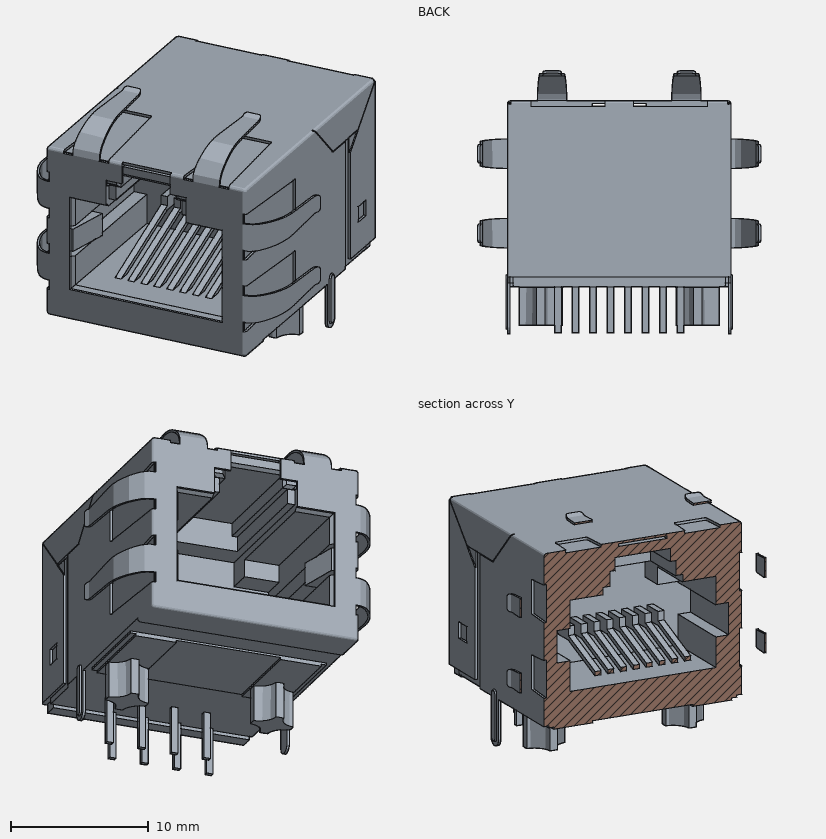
import cadquery as cq
import math


HALF_WIDTH = 8.12
DEPTH = 21.11
TOP_Z = 13.57
BASE_Z = 0.32
SHEET = 0.2
BEND = 0.25
REAR_SHEET_BASE_Z = 0.78
HAIRLINE = 0.06

FRONT_FLAP_DEPTH = 2.85
FRONT_FLAP_Z = 0.05
FOOT_FRONT_Y = 19.8
FOOT_HALF_WIDTH = 7.7
PLATFORM_Z = 0.16
FOOT_Z = 0.06
PAD_FRONT_Y = 5.2
PAD_REAR_Y = 12.55
PAD_WIDTH = 3.2

PORT_HALF = 6.2
PORT_FLOOR_Z = 2.48
PORT_ROOF_Z = 9.9
LATCH_HALF = 3.25
LATCH_ROOF_Z = 11.9
SLIT_HALF = 1.96
LEAD_IN = 0.24
HOOK_HALF = 2.26
HOOK_ROOF_Z = 12.36
HOOK_LEDGE_Z = 11.36
CAVITY_END_Y = 12.0
SHOULDER_END_Y = 10.0
SHOULDER_Z = 8.32
LATCH_END_Y = 10.0
LATCH_BACK_Z = 10.22
LATCH_RIB_WIDTH = 0.57
LATCH_RIB_FRONT_Y = 0.48

GAP_FLOOR_Z = 13.2
GAP_HEIGHT = 0.16
REAR_SLOT_INNER_X = 1.05
REAR_SLOT_OUTER_X = 6.4
REAR_SLOT_FRONT_Y = 20.8
REAR_SLOT_Z = 13.15
CORNER_RELIEF = 0.25

GUIDE_SLOT_Z = (5.06, 7.5)
GUIDE_SLOT_X = 7.0
GUIDE_Z = (5.44, 7.22)
GUIDE_TIP_X = 5.38
GUIDE_END_Y = 3.65

CONTACT_COUNT = 8
CONTACT_PITCH = 1.05
CONTACT_WIDTH = 0.5
CONTACT_TIP_Y = 2.8
CONTACT_BEND_Z = 5.44
CONTACT_TOP_Z = 6.16
CONTACT_SLOPE = math.radians(20)
CONTACT_HEIGHT = 0.35

FINGER_REACH = 2.18
FINGER_SHEET = 0.17
FINGER_ROOT_RADIUS = 1.42
FINGER_BOW_END_Y = 3.7
FINGER_LIP_Y = 7.15
FINGER_LIP_RADIUS = 0.5
FINGER_LIP_ANGLE = math.radians(25)
FINGER_END_Y = 7.7
FINGER_ROOT_HALF = 1.08
FINGER_TIP_HALF = 0.66
FINGER_CORNER = 0.25
WINDOW_END_Y = 8.05
WINDOW_ROOT_HALF = 1.84
WINDOW_TIP_HALF = 1.31
WINDOW_CORNER = 0.12
TOP_FINGER_X = 4.875
SIDE_FINGER_Z = (3.95, 9.72)

FLAP_Z = 10.6
FLAP_FRONT_Y = 14.06
FLAP_REAR_Y = 18.1
STEP_SLOPE_Y = 16.1
STEP_FLOOR_Y = 16.5
STEP_REAR_Y = 16.9
STEP_CORNER = 1.25
STEP_CORNER_RECESS = 0.1
CATCH_CENTER = (18.8, 3.83)
CATCH_SIZE = 1.25

TAB_Y = 13.8
TAB_WIDTH = 1.2
TAB_TIP_Z = -3.36
BEAD_WIDTH = 0.65
BEAD_RISE = 0.12
BEAD_Z = (-3.05, 0.96)
BEAD_DRAFT = 30

PIN_COUNT = 8
PIN_PITCH = 1.27
PIN_WIDTH = 0.5
PIN_THICKNESS = 0.35
PIN_ROW_Y = (17.07, 19.62)
PIN_TIP_Z = -3.28

POST_X = 5.69
POST_Y = 10.72
POST_RADIUS = 1.575
POST_TIP_Z = -2.74
FLUTE_RADIUS = 1.34
FLUTE_CENTER = 2.33
FLUTE_COUNT = 4
FLUTE_START_ANGLE = 45


def block(x, y, z):
    """Box spanning the given (low, high) pair along each axis."""
    size = (x[1] - x[0], y[1] - y[0], z[1] - z[0])
    return cq.Workplane("XY").box(*size, centered=False).translate((x[0], y[0], z[0]))


def wide_block(half, y, z):
    return block((-half, half), y, z)


def both_sides(shape):
    return shape.union(shape.mirror("YZ"))


def side_prism(points, x):
    """Prism with a YZ outline, spanning the (low, high) pair x."""
    outline = cq.Workplane("YZ", origin=(x[0], 0, 0)).polyline(points).close()
    return outline.extrude(x[1] - x[0])


def make_box():
    """Folded shield box, open along its underside behind the front flap, with its feet."""
    box = wide_block(HALF_WIDTH, (0, DEPTH), (FRONT_FLAP_Z, TOP_Z))
    box = box.edges("|Z").fillet(BEND).edges(">Z or (<Y and <Z)").fillet(BEND)
    box = box.cut(wide_block(HALF_WIDTH, (FRONT_FLAP_DEPTH, DEPTH), (FRONT_FLAP_Z, BASE_Z)))
    box = box.cut(wide_block(HALF_WIDTH, (FOOT_FRONT_Y, DEPTH), (BASE_Z, REAR_SHEET_BASE_Z)))
    foot = wide_block(FOOT_HALF_WIDTH, (FOOT_FRONT_Y, DEPTH - SHEET), (FOOT_Z, REAR_SHEET_BASE_Z))
    pad_span = (PAD_FRONT_Y, PAD_REAR_Y)
    platform = wide_block(FOOT_HALF_WIDTH, pad_span, (PLATFORM_Z, BASE_Z))
    pad_x = (POST_X - PAD_WIDTH / 2, POST_X + PAD_WIDTH / 2)
    pads = both_sides(block(pad_x, pad_span, (0, PLATFORM_Z)))
    return box.union(foot).union(platform).union(pads)


def flared_mouth(half, floor_z, roof_z):
    """Cut behind the front sheet, shrinking by LEAD_IN on every side to the given size."""
    height = roof_z - floor_z
    return (
        cq.Workplane("XZ", origin=(0, SHEET, floor_z + height / 2))
        .rect(2 * (half + LEAD_IN), height + 2 * LEAD_IN)
        .workplane(offset=-LEAD_IN)
        .rect(2 * half, height)
        .loft(ruled=True)
    )


def make_port():
    """Everything cut out of the front: sheet opening, flared mouths and plug cavity."""
    front = (0, SHEET)
    opening = wide_block(PORT_HALF, front, (PORT_FLOOR_Z, PORT_ROOF_Z))
    opening = opening.union(wide_block(LATCH_HALF, front, (PORT_FLOOR_Z, LATCH_ROOF_Z)))
    opening = opening.union(wide_block(SLIT_HALF, front, (PORT_FLOOR_Z, TOP_Z)))

    half = PORT_HALF - LEAD_IN
    floor = PORT_FLOOR_Z + LEAD_IN
    roof = PORT_ROOF_Z - LEAD_IN
    mouths = flared_mouth(half, floor, roof)
    mouths = mouths.union(flared_mouth(HOOK_HALF, HOOK_LEDGE_Z, HOOK_ROOF_Z))
    mouths = mouths.union(flared_mouth(LATCH_HALF - LEAD_IN, LATCH_BACK_Z, HOOK_LEDGE_Z))

    cavity = wide_block(half, (SHEET, CAVITY_END_Y), (floor, SHOULDER_Z))
    cavity = cavity.union(wide_block(half, (SHEET, SHOULDER_END_Y), (SHOULDER_Z, roof)))
    cavity = cavity.union(
        wide_block(LATCH_HALF, (SHEET, CAVITY_END_Y), (SHOULDER_Z, LATCH_BACK_Z))
    )
    latch = wide_block(LATCH_HALF, (SHEET, LATCH_END_Y), (LATCH_BACK_Z, HOOK_LEDGE_Z))
    rib_x = (LATCH_HALF - LATCH_RIB_WIDTH, LATCH_HALF)
    ribs = both_sides(
        block(rib_x, (LATCH_RIB_FRONT_Y, LATCH_END_Y), (LATCH_BACK_Z, HOOK_LEDGE_Z))
    )
    hook = wide_block(HOOK_HALF, (SHEET, LATCH_END_Y), (HOOK_LEDGE_Z, HOOK_ROOF_Z))
    cavity = cavity.union(latch.cut(ribs)).union(hook)
    slots = both_sides(block((half, GUIDE_SLOT_X), (SHEET, CAVITY_END_Y), GUIDE_SLOT_Z))
    return opening.union(mouths).union(cavity).union(slots)


def make_guides():
    outline = [
        (PORT_HALF - LEAD_IN / 2, SHEET + LEAD_IN / 2),
        (GUIDE_TIP_X, GUIDE_END_Y),
        (GUIDE_SLOT_X, GUIDE_END_Y),
        (GUIDE_SLOT_X, SHEET + LEAD_IN / 2),
    ]
    guide = cq.Workplane("XY", origin=(0, 0, GUIDE_Z[0])).polyline(outline).close()
    return both_sides(guide.extrude(GUIDE_Z[1] - GUIDE_Z[0]))


def make_contacts():
    """Wires sloping up from the cavity floor, then running straight into its back wall."""
    floor = PORT_FLOOR_Z + LEAD_IN
    bend_y = CONTACT_TIP_Y + (CONTACT_BEND_Z - floor) / math.tan(CONTACT_SLOPE)
    outline = [
        (CONTACT_TIP_Y, floor - CONTACT_HEIGHT),
        (CONTACT_TIP_Y, floor),
        (bend_y, CONTACT_BEND_Z),
        (bend_y, CONTACT_TOP_Z),
        (CAVITY_END_Y, CONTACT_TOP_Z),
        (CAVITY_END_Y, CONTACT_BEND_Z - CONTACT_HEIGHT),
        (bend_y, CONTACT_BEND_Z - CONTACT_HEIGHT),
    ]
    contacts = cq.Workplane("XY")
    for index in range(CONTACT_COUNT):
        x = (index - (CONTACT_COUNT - 1) / 2) * CONTACT_PITCH
        contacts = contacts.union(
            side_prism(outline, (x - CONTACT_WIDTH / 2, x + CONTACT_WIDTH / 2))
        )
    return contacts


def make_top_gaps():
    gap = wide_block(SLIT_HALF, (0, DEPTH - SHEET), (GAP_FLOOR_Z, GAP_FLOOR_Z + GAP_HEIGHT))
    slot_x = (REAR_SLOT_INNER_X, REAR_SLOT_OUTER_X)
    slots = both_sides(block(slot_x, (REAR_SLOT_FRONT_Y, DEPTH), (REAR_SLOT_Z, TOP_Z)))
    relief = both_sides(
        block(
            (HALF_WIDTH - CORNER_RELIEF, HALF_WIDTH),
            (DEPTH - CORNER_RELIEF, DEPTH),
            (TOP_Z - CORNER_RELIEF, TOP_Z),
        )
    )
    return gap.union(slots).union(relief)


def make_side_folds():
    """Cuts in the +X side sheet: flap seam, stepped groove, lower recess and catch."""
    floor_x = HALF_WIDTH - SHEET
    sheet_x = (floor_x, HALF_WIDTH)
    flap_height = TOP_Z + SHEET - FLAP_Z
    outline = [
        (FLAP_FRONT_Y, FLAP_Z),
        (FLAP_REAR_Y, FLAP_Z),
        (FLAP_REAR_Y + flap_height, FLAP_Z + flap_height),
        (FLAP_FRONT_Y - flap_height, FLAP_Z + flap_height),
    ]
    sheet_plane = cq.Workplane("YZ", origin=(floor_x, 0, 0))
    flap = sheet_plane.polyline(outline).close().offset2D(-HAIRLINE).extrude(SHEET)
    seam = side_prism(outline, sheet_x).cut(flap)

    groove = (
        cq.Workplane("XY", origin=(0, 0, BASE_Z))
        .moveTo(HALF_WIDTH, STEP_SLOPE_Y)
        .lineTo(floor_x, STEP_FLOOR_Y)
        .lineTo(floor_x, STEP_REAR_Y)
        .lineTo(HALF_WIDTH, STEP_REAR_Y)
        .close()
        .extrude(FLAP_Z - BASE_Z)
    )
    corner = side_prism(
        [
            (STEP_REAR_Y, FLAP_Z - STEP_CORNER),
            (STEP_REAR_Y, FLAP_Z),
            (STEP_REAR_Y + STEP_CORNER, FLAP_Z),
        ],
        (HALF_WIDTH - STEP_CORNER_RECESS, HALF_WIDTH),
    )
    lower = block(sheet_x, (STEP_FLOOR_Y, FOOT_FRONT_Y), (BASE_Z, REAR_SHEET_BASE_Z))
    catch_y, catch_z = CATCH_CENTER
    half = CATCH_SIZE / 2
    catch = block(sheet_x, (catch_y - half, catch_y + half), (catch_z - half, catch_z + half))
    return seam.union(groove).union(corner).union(lower).union(catch)


def tapered_plan(root_half, tip_half, end_y, corner):
    """Trapezoid narrowing from Y = 0 to end_y, rounded at its tip, spanning Z from 0 up."""
    plan = (
        cq.Workplane("XY")
        .polyline([(-root_half, 0), (root_half, 0), (tip_half, end_y), (-tip_half, end_y)])
        .close()
        .extrude(FINGER_REACH + SHEET)
    )
    return plan.edges("|Z and >Y").fillet(corner)


def make_finger():
    """Spring finger on a face at Z = 0, bowed from the front edge and lipped at its end."""
    lip_sine = math.sin(FINGER_LIP_ANGLE)
    lip_straight = FINGER_END_Y - FINGER_LIP_Y - FINGER_LIP_RADIUS * lip_sine
    lip_rise = (
        FINGER_LIP_RADIUS * (1 - math.cos(FINGER_LIP_ANGLE))
        + lip_straight * math.tan(FINGER_LIP_ANGLE)
    )
    lift = FINGER_REACH - lip_rise

    root = FINGER_ROOT_RADIUS
    span = FINGER_BOW_END_Y - root
    height = lift + BEND
    bow = (span**2 + height**2 - root**2) / (2 * (height - root))
    joint_angle = math.atan2(bow - height, -span)
    root_center = (root, -BEND)
    bow_center = (FINGER_BOW_END_Y, lift - bow)
    lip_center = (FINGER_LIP_Y, lift + FINGER_LIP_RADIUS)
    lip_end = FINGER_LIP_ANGLE - math.pi / 2
    lip_mid = (FINGER_LIP_ANGLE - math.pi) / 2
    root_mid = (math.pi + joint_angle) / 2
    bow_mid = (joint_angle + math.pi / 2) / 2

    def on_arc(center, radius, angle):
        return (center[0] + radius * math.cos(angle), center[1] + radius * math.sin(angle))

    inner_root = root - FINGER_SHEET
    inner_bow = bow - FINGER_SHEET
    inner_lip = FINGER_LIP_RADIUS + FINGER_SHEET
    inner_lift = lift - FINGER_SHEET
    under_tip_z = FINGER_REACH - FINGER_SHEET / math.cos(FINGER_LIP_ANGLE)
    strip = (
        cq.Workplane("YZ", origin=(-FINGER_ROOT_HALF, 0, 0))
        .moveTo(0, -BEND)
        .threePointArc(
            on_arc(root_center, root, root_mid), on_arc(root_center, root, joint_angle)
        )
        .threePointArc(on_arc(bow_center, bow, bow_mid), (FINGER_BOW_END_Y, lift))
        .lineTo(FINGER_LIP_Y, lift)
        .threePointArc(
            on_arc(lip_center, FINGER_LIP_RADIUS, lip_mid),
            on_arc(lip_center, FINGER_LIP_RADIUS, lip_end),
        )
        .lineTo(FINGER_END_Y, FINGER_REACH)
        .lineTo(FINGER_END_Y, under_tip_z)
        .lineTo(*on_arc(lip_center, inner_lip, lip_end))
        .threePointArc(on_arc(lip_center, inner_lip, lip_mid), (FINGER_LIP_Y, inner_lift))
        .lineTo(FINGER_BOW_END_Y, inner_lift)
        .threePointArc(
            on_arc(bow_center, inner_bow, bow_mid), on_arc(bow_center, inner_bow, joint_angle)
        )
        .threePointArc(on_arc(root_center, inner_root, root_mid), (FINGER_SHEET, -BEND))
        .close()
        .extrude(2 * FINGER_ROOT_HALF)
    )
    plan = tapered_plan(FINGER_ROOT_HALF, FINGER_TIP_HALF, FINGER_END_Y, FINGER_CORNER)
    return strip.intersect(plan.union(plan.translate((0, 0, -BEND))))


def make_window():
    """Window through the sheet, reaching down to the bend where it crosses the front sheet."""
    plan = tapered_plan(WINDOW_ROOT_HALF, WINDOW_TIP_HALF, WINDOW_END_Y, WINDOW_CORNER)
    front_sheet = wide_block(WINDOW_ROOT_HALF, (0, SHEET), (-BEND, 0))
    edge = plan.translate((0, 0, -BEND)).intersect(front_sheet)
    return plan.translate((0, 0, -SHEET)).union(edge)


def on_all_faces(shape):
    """Copies of a shape built on Z = 0, set on the top and side finger positions."""
    copies = cq.Workplane("XY")
    for x in (-TOP_FINGER_X, TOP_FINGER_X):
        copies = copies.union(shape.translate((x, 0, TOP_Z)))
    for side in (-1, 1):
        turned = shape.rotate((0, 0, 0), (0, 1, 0), side * 90)
        for z in SIDE_FINGER_Z:
            copies = copies.union(turned.translate((side * HALF_WIDTH, 0, z)))
    return copies


def upright_slot(width, z, x):
    """Round-ended vertical slot outline at the ground tab, on the plane at x."""
    return cq.Workplane("YZ", origin=(x, TAB_Y, (z[0] + z[1]) / 2)).slot2D(z[1] - z[0], width, 90)


def make_tabs():
    tab = upright_slot(TAB_WIDTH, (TAB_TIP_Z, BASE_Z + TAB_WIDTH), HALF_WIDTH - SHEET)
    bead = upright_slot(BEAD_WIDTH, BEAD_Z, HALF_WIDTH)
    return both_sides(tab.extrude(SHEET).union(bead.extrude(BEAD_RISE, taper=BEAD_DRAFT)))


def make_pins():
    pins = cq.Workplane("XY")
    for index in range(PIN_COUNT):
        x = (index - (PIN_COUNT - 1) / 2) * PIN_PITCH
        y = PIN_ROW_Y[index % 2]
        pin = block(
            (x - PIN_WIDTH / 2, x + PIN_WIDTH / 2),
            (y - PIN_THICKNESS / 2, y + PIN_THICKNESS / 2),
            (PIN_TIP_Z, BASE_Z + SHEET),
        )
        pins = pins.union(pin)
    return pins


def make_posts():
    height = BASE_Z - POST_TIP_Z
    base = cq.Workplane("XY", origin=(0, 0, POST_TIP_Z))
    flute_centers = base.polarArray(FLUTE_CENTER, FLUTE_START_ANGLE, 360, FLUTE_COUNT)
    flutes = flute_centers.circle(FLUTE_RADIUS).extrude(height)
    post = base.circle(POST_RADIUS).extrude(height).cut(flutes)
    return both_sides(post.translate((POST_X, POST_Y, 0)))


body = make_box().cut(make_port()).cut(make_top_gaps())
body = body.cut(both_sides(make_side_folds())).cut(on_all_faces(make_window()))
body = body.union(make_guides()).union(make_contacts())
body = body.union(on_all_faces(make_finger()))
result = body.union(make_tabs()).union(make_pins()).union(make_posts())